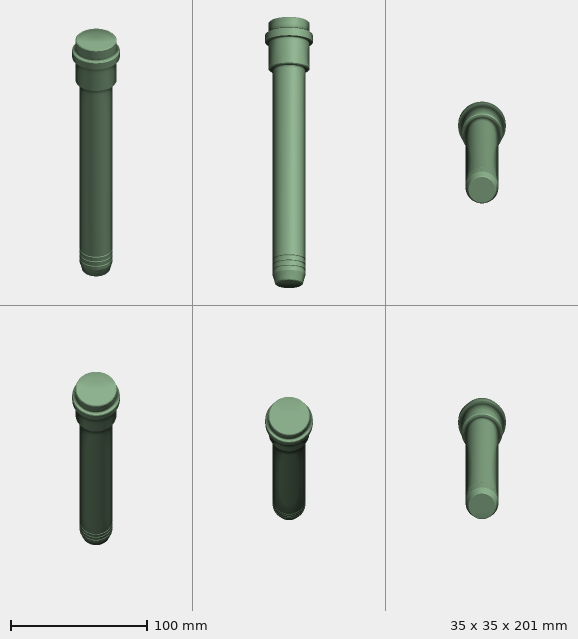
import cadquery as cq

total_length = 201.0
head_radius = 15.0
flange_radius = 17.5
shaft_radius = 12.0
nose_tip_radius = 10.3

nose_height = 7.0
body_bottom = 165.0
flange_bottom = 186.0
flange_top = 192.0

tip_chamfer = 0.5
body_chamfer = 0.6
flange_chamfer = 0.5
head_chamfer = 0.6

groove_radius = 0.5
groove_count = 3
first_groove_height = 10.5
groove_spacing = 4.0

relief_depth = 0.5
relief_width = 1.0


def cylinder(radius, bottom, top):
    """Solid cylinder on the Z axis between two heights."""
    return cq.Workplane("XY").workplane(offset=bottom).circle(radius).extrude(top - bottom)


def round_groove(radius, height):
    """Torus that cuts a half-round groove into a cylinder of the given radius."""
    return (
        cq.Workplane("XZ")
        .center(radius, height)
        .circle(groove_radius)
        .revolve(360, (-radius, 0, 0), (-radius, 1, 0))
    )


def nose():
    """Cone that narrows from the shaft to a chamfered flat tip."""
    return (
        cq.Workplane("XZ")
        .lineTo(nose_tip_radius - tip_chamfer, 0)
        .lineTo(nose_tip_radius, tip_chamfer)
        .lineTo(shaft_radius, nose_height)
        .lineTo(0, nose_height)
        .close()
        .revolve(360, (0, 0, 0), (0, 1, 0))
    )


def shaft():
    """Long shaft with grooves near the nose and a relief neck under the body."""
    neck_bottom = body_bottom - relief_width
    rod = cylinder(shaft_radius, nose_height, neck_bottom)
    for index in range(groove_count):
        rod = rod.cut(round_groove(shaft_radius, first_groove_height + index * groove_spacing))
    return rod.union(cylinder(shaft_radius - relief_depth, neck_bottom, body_bottom))


def body():
    """Fitting diameter below the flange, grooved right under the flange."""
    plain = cylinder(head_radius, body_bottom, flange_bottom).faces("<Z").chamfer(body_chamfer)
    return plain.cut(round_groove(head_radius, flange_bottom - groove_radius))


def flange():
    """Collar with a chamfered upper rim."""
    return cylinder(flange_radius, flange_bottom, flange_top).faces(">Z").chamfer(flange_chamfer)


def head():
    """Chamfered head above the flange, grooved right above the flange."""
    plain = cylinder(head_radius, flange_top, total_length).faces(">Z").chamfer(head_chamfer)
    return plain.cut(round_groove(head_radius, flange_top + groove_radius))


result = nose().union(shaft()).union(body()).union(flange()).union(head())